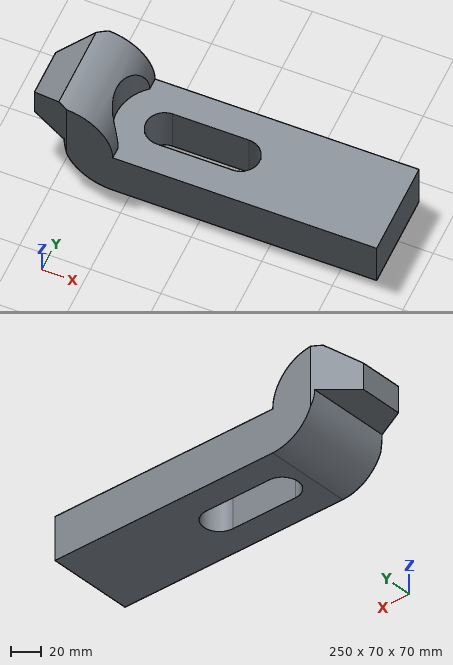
import cadquery as cq
import math

length = 250.0
width = 70.0
thickness = 35.0
height = 2 * thickness

bend_radius = thickness
step_x = 63.0
neck_x = step_x - bend_radius

nose_top_z = 52.0
nose_bottom_z = 31.0
crest_x = 23.0
nose_width = 35.0
nose_taper_angle = 30.0

slot_width = 26.5
slot_start_x = 71.5
slot_end_x = 152.0
clearance_radius = 34.0


def gooseneck_body():
    """Side profile in the XZ plane, extruded symmetrically across the width."""
    diagonal = bend_radius * math.sqrt(0.5)
    crest_z = thickness + math.sqrt(bend_radius**2 - (neck_x - crest_x) ** 2)
    return (
        cq.Workplane("XZ")
        .moveTo(0, nose_bottom_z)
        .lineTo(neck_x, thickness)
        .threePointArc((step_x - diagonal, bend_radius - diagonal), (step_x, 0))
        .lineTo(length, 0)
        .lineTo(length, thickness)
        .lineTo(step_x, thickness)
        .threePointArc((neck_x + diagonal, thickness + diagonal), (crest_x, crest_z))
        .lineTo(0, nose_top_z)
        .close()
        .extrude(width / 2, both=True)
    )


def nose_side_cut(side):
    """Wedge removed from one side of the nose; side is +1 or -1 along Y."""
    taper_depth = (width - nose_width) / 2
    taper_length = taper_depth / math.tan(math.radians(nose_taper_angle))
    return (
        cq.Workplane("XY")
        .moveTo(0, side * nose_width / 2)
        .lineTo(taper_length, side * width / 2)
        .lineTo(0, side * width / 2)
        .close()
        .extrude(height)
    )


def bolt_slot():
    """Round-ended slot through the bar."""
    return (
        cq.Workplane("XY")
        .center((slot_start_x + slot_end_x) / 2, 0)
        .slot2D(slot_end_x - slot_start_x, slot_width)
        .extrude(height)
    )


def washer_clearance():
    """Cylinder above the bar, concentric with the nose end of the slot."""
    return (
        cq.Workplane("XY", origin=(slot_start_x + slot_width / 2, 0, thickness))
        .circle(clearance_radius)
        .extrude(height - thickness)
    )


result = gooseneck_body()
for side in (-1, 1):
    result = result.cut(nose_side_cut(side))
result = result.cut(bolt_slot()).cut(washer_clearance())